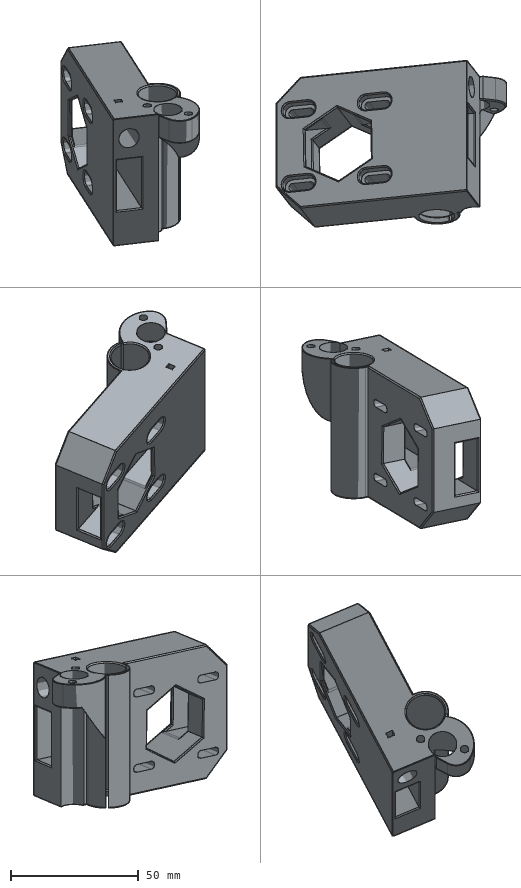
import cadquery as cq
import math

BODY_LENGTH = 77.9
BODY_DEPTH = 22.2
BODY_HEIGHT = 55.0
CORNER_CUT = 10.0
EDGE_CHAMFER = 0.5
FINE_CHAMFER = 0.3

TUBE_X = 59.1
SHAFT_Y = 23.1
TUBE_RADIUS = 9.1
BORE_RADIUS = 7.5
LIP_RADIUS = 7.0
LIP_HEIGHT = 2.0
SLIT_WIDTH = 1.0
SLIT_ANGLE = 55.0
SLIT_BRIDGE = 0.3

SHAFT_X = 74.9
SHAFT_DIAMETER = 11.0
LOBE_RADIUS = 12.4
NOSE_RADIUS = 6.4
NOSE_ANGLE = 34.0
LOBE_THICKNESS = 10.0
LOBE_HEEL_X = 79.3
SUPPORT_TILT = 56.7
SUPPORT_HEADING = 152.0
SUPPORT_START_DROP = 10.35
SUPPORT_START = (79.0, 34.85)
SUPPORT_DEPTH = 38.8

PIN_DIAMETER = 3.2
PIN_OFFSET = (5.7, 6.8)
PIN_DEPTH = 10.0

PORT_SIZE = (2.15, 2.85)
PORT_X = 62.1
CHANNEL_DIAMETER = 8.2
CHANNEL_DEPTH = 20.0
CHANNEL_Y = 6.5
CHANNEL_Z = 46.1

HEX_CENTER = (25.3, 25.4)
HEX_ACROSS_FLATS = 26.8
HEX_TURN = 1.0

WINDOW_WIDTH = 10.0
WINDOW_HEIGHT = 21.9
WINDOW_CENTER = (6.6, 26.05)

SCREW_CENTER = (24.85, 26.05)
SCREW_PITCH = 31.0
SCREW_DIAMETER = 3.2
SLOT_TRAVEL = 6.9
HEAD_DIAMETER = 6.2
HEAD_DEPTH = 4.0

MARGIN = 0.9


def level_plane(height):
    """Horizontal workplane at the given height."""
    return cq.Workplane("XY", origin=(0, 0, height))


def face_plane(depth):
    """Workplane at the given Y, with local axes X and Z and its normal along -Y."""
    return cq.Workplane("XZ", origin=(0, depth, 0))


def polar(center, radius, angle):
    """Point at a radius and an angle in degrees from a centre."""
    turn = math.radians(angle)
    return (center[0] + radius * math.cos(turn), center[1] + radius * math.sin(turn))


def make_block():
    """Plate-sided block with its -X corners cut off."""
    outline = [
        (CORNER_CUT, 0),
        (BODY_LENGTH, 0),
        (BODY_LENGTH, BODY_HEIGHT),
        (CORNER_CUT, BODY_HEIGHT),
        (0, BODY_HEIGHT - CORNER_CUT),
        (0, CORNER_CUT),
    ]
    block = face_plane(0).polyline(outline).close().extrude(-BODY_DEPTH)
    short_of_end = cq.selectors.BoxSelector(
        (-MARGIN, -MARGIN, -MARGIN),
        (BODY_LENGTH - MARGIN, BODY_DEPTH + MARGIN, BODY_HEIGHT + MARGIN),
    )
    rims = block.faces("<Y or >Y").edges(short_of_end)
    return rims.chamfer(EDGE_CHAMFER).faces(">X").chamfer(FINE_CHAMFER)


def make_tube():
    """Full-height half-round housing that grows out of the back of the block."""
    inner_y = BODY_DEPTH - TUBE_RADIUS / 2
    tube = (
        level_plane(0)
        .moveTo(TUBE_X - TUBE_RADIUS, inner_y)
        .lineTo(TUBE_X + TUBE_RADIUS, inner_y)
        .lineTo(TUBE_X + TUBE_RADIUS, SHAFT_Y)
        .threePointArc((TUBE_X, SHAFT_Y + TUBE_RADIUS), (TUBE_X - TUBE_RADIUS, SHAFT_Y))
        .close()
        .extrude(BODY_HEIGHT)
    )
    tube = tube.faces("<Z").edges(">Y").chamfer(EDGE_CHAMFER)
    return tube.faces(">Z").edges(">Y").chamfer(FINE_CHAMFER)


def lobe_outline(z):
    """Large arc round the shaft hole, blended into a smaller nose and a straight side."""
    shaft = (SHAFT_X, SHAFT_Y)
    nose = polar(shaft, LOBE_RADIUS - NOSE_RADIUS, NOSE_ANGLE)
    blend = polar(shaft, LOBE_RADIUS, NOSE_ANGLE)
    side_start = polar(nose, NOSE_RADIUS, NOSE_ANGLE - 90)
    heel_y = side_start[1] - (side_start[0] - LOBE_HEEL_X) * math.tan(math.radians(NOSE_ANGLE))
    left = polar(shaft, LOBE_RADIUS, 180)
    return (
        level_plane(z)
        .moveTo(left[0], heel_y)
        .lineTo(LOBE_HEEL_X, heel_y)
        .lineTo(*side_start)
        .threePointArc(polar(nose, NOSE_RADIUS, NOSE_ANGLE - 45), blend)
        .threePointArc(polar(shaft, LOBE_RADIUS, 90 + NOSE_ANGLE / 2), left)
        .close()
    )


def make_lobe():
    """Thin lobe with a sloping support that carries it on the block."""
    plate = lobe_outline(BODY_HEIGHT - LOBE_THICKNESS).extrude(LOBE_THICKNESS)
    plate = plate.faces("<Z").chamfer(EDGE_CHAMFER).faces(">Z").chamfer(FINE_CHAMFER)
    prism = lobe_outline(BODY_HEIGHT - SUPPORT_DEPTH).extrude(SUPPORT_DEPTH)
    prism = prism.faces(">Z").chamfer(FINE_CHAMFER)
    tilt = math.radians(SUPPORT_TILT)
    heading = math.radians(SUPPORT_HEADING)
    normal = cq.Vector(
        math.sin(tilt) * math.cos(heading),
        math.sin(tilt) * math.sin(heading),
        math.cos(tilt),
    )
    start = cq.Vector(*SUPPORT_START, BODY_HEIGHT - SUPPORT_START_DROP)
    slope = cq.Plane(origin=start, normal=normal)
    keep = cq.Workplane(slope).rect(4 * BODY_LENGTH, 4 * BODY_LENGTH).extrude(2 * BODY_LENGTH)
    return plate.union(prism.intersect(keep))


def bore_cutter():
    """Bore with a flared mouth at the top and a coned step down to the lip."""
    mouth = BORE_RADIUS + EDGE_CHAMFER
    step = BORE_RADIUS - LIP_RADIUS
    profile = [
        (0, 0),
        (LIP_RADIUS, 0),
        (LIP_RADIUS, LIP_HEIGHT),
        (BORE_RADIUS, LIP_HEIGHT + step),
        (BORE_RADIUS, BODY_HEIGHT - EDGE_CHAMFER),
        (mouth, BODY_HEIGHT),
        (0, BODY_HEIGHT),
    ]
    turned = cq.Workplane("XZ").polyline(profile).close().revolve(360, (0, 0), (0, 1))
    return turned.translate((TUBE_X, SHAFT_Y, 0))


def slit_cutter():
    """Radial slit from the bore out through the tube wall."""
    reach = TUBE_RADIUS + 2 * MARGIN
    height = BODY_HEIGHT - SLIT_BRIDGE
    slit = cq.Workplane("XY").box(reach, SLIT_WIDTH, height, centered=(False, True, False))
    return slit.rotate((0, 0, 0), (0, 0, 1), SLIT_ANGLE).translate((TUBE_X, SHAFT_Y, 0))


def shaft_cutter():
    return level_plane(0).center(SHAFT_X, SHAFT_Y).circle(SHAFT_DIAMETER / 2).extrude(BODY_HEIGHT)


def pin_cutter():
    """Through hole in the lobe and a matching blind hole in the block."""
    dx, dy = PIN_OFFSET
    through = (
        level_plane(0)
        .center(SHAFT_X + dx, SHAFT_Y + dy)
        .circle(PIN_DIAMETER / 2)
        .extrude(BODY_HEIGHT)
    )
    blind = (
        level_plane(BODY_HEIGHT)
        .center(SHAFT_X - dx, SHAFT_Y - dy)
        .circle(PIN_DIAMETER / 2)
        .extrude(-PIN_DEPTH)
    )
    return through.union(blind)


def hex_cutter():
    """Hexagonal prism along Y, flared at both faces."""
    radius = HEX_ACROSS_FLATS / math.sqrt(3)
    flare_radius = radius + EDGE_CHAMFER / math.cos(math.pi / 6)

    def corners(r):
        angles = [90 + HEX_TURN + 60 * i for i in range(6)]
        return [polar(HEX_CENTER, r, a) for a in angles]

    prism = face_plane(0).polyline(corners(radius)).close().extrude(-BODY_DEPTH)
    for face_y, inward in ((0, 1), (BODY_DEPTH, -1)):
        flare = (
            face_plane(face_y)
            .polyline(corners(flare_radius))
            .close()
            .workplane(offset=-inward * EDGE_CHAMFER)
            .polyline(corners(radius))
            .close()
            .loft(ruled=True)
        )
        prism = prism.union(flare)
    return prism


def window_cutter():
    y, z = WINDOW_CENTER
    return cq.Workplane("YZ").center(y, z).rect(WINDOW_WIDTH, WINDOW_HEIGHT).extrude(BODY_LENGTH)


def window_mouths():
    """Edges where the passage meets the end faces and the flats of the hexagon."""
    y, z = WINDOW_CENTER
    half_y = WINDOW_WIDTH / 2 + EDGE_CHAMFER / 2
    half_z = WINDOW_HEIGHT / 2 + EDGE_CHAMFER / 2
    zone = cq.selectors.BoxSelector(
        (-MARGIN, y - half_y, z - half_z), (BODY_LENGTH + MARGIN, y + half_y, z + half_z), boundingbox=True
    )
    return zone - cq.selectors.ParallelDirSelector(cq.Vector(1, 0, 0))


def channel_cutter():
    """Round channel from the +X face and the port that opens it to the top."""
    channel = (
        cq.Workplane("YZ", origin=(BODY_LENGTH, 0, 0))
        .center(CHANNEL_Y, CHANNEL_Z)
        .circle(CHANNEL_DIAMETER / 2)
        .extrude(-CHANNEL_DEPTH)
    )
    port = level_plane(CHANNEL_Z).center(PORT_X, CHANNEL_Y).rect(*PORT_SIZE).extrude(BODY_HEIGHT - CHANNEL_Z)
    return channel.union(port)


def screw_cutter(x, z):
    """Long hole with a deep, flared recess for the screw head."""
    flare_diameter = HEAD_DIAMETER + 2 * EDGE_CHAMFER

    def slot(width):
        return face_plane(0).center(x, z).slot2D(SLOT_TRAVEL + width, width)

    hole = slot(SCREW_DIAMETER).extrude(-BODY_DEPTH)
    recess = slot(HEAD_DIAMETER).extrude(-HEAD_DEPTH)
    flare = slot(flare_diameter).extrude(-EDGE_CHAMFER, taper=45)
    return hole.union(recess).union(flare)


block = make_block().cut(hex_cutter()).cut(window_cutter())
block = block.edges(window_mouths()).chamfer(EDGE_CHAMFER)
result = block.union(make_tube()).union(make_lobe())
result = result.cut(bore_cutter()).cut(slit_cutter())
result = result.cut(shaft_cutter()).cut(pin_cutter()).cut(channel_cutter())
for side in (-1, 1):
    for level in (-1, 1):
        x = SCREW_CENTER[0] + side * SCREW_PITCH / 2
        z = SCREW_CENTER[1] + level * SCREW_PITCH / 2
        result = result.cut(screw_cutter(x, z))